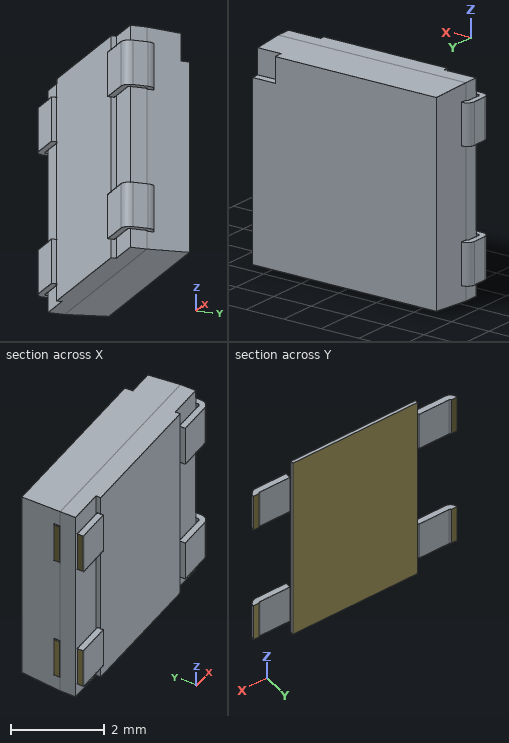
import cadquery as cq
import math

HOUSING_SIDE = 5.0
UPPER_HEIGHT = 1.0
LOWER_HEIGHT = 0.5
DRAFT_ANGLE = 3.0
PAD_WIDTH = 3.3
LEDGE_DEPTH = 0.12

NOTCH_SIDE = 0.61
NOTCH_DEPTH = 0.2

LEAD_SPAN = 5.4
LEAD_WIDTH = 1.0
LEAD_SPACING = 3.195
LEAD_THICKNESS = 0.15
LEAD_TOP = LEAD_THICKNESS
LEAD_BOTTOM = -0.6
FOOT_LENGTH = 1.0

HALF_SIDE = HOUSING_SIDE / 2
BEND_RADIUS = LEAD_SPAN / 2 - HALF_SIDE
DRAFT_SLOPE = math.tan(math.radians(DRAFT_ANGLE))


def make_housing():
    lower = cq.Workplane("XZ").rect(HOUSING_SIDE, HOUSING_SIDE).extrude(LOWER_HEIGHT)
    upper = cq.Workplane("XZ").rect(HOUSING_SIDE, HOUSING_SIDE).extrude(-UPPER_HEIGHT, taper=DRAFT_ANGLE)
    return cut_notch(cut_ledges(lower.union(upper)))


def cut_ledges(housing):
    ledge_width = (HOUSING_SIDE - PAD_WIDTH) / 2
    ledge_center = (HOUSING_SIDE + PAD_WIDTH) / 4
    for side in (-1, 1):
        ledge = (
            cq.Workplane("XY")
            .box(ledge_width, LEDGE_DEPTH, HOUSING_SIDE)
            .translate((side * ledge_center, -LOWER_HEIGHT + LEDGE_DEPTH / 2, 0))
        )
        housing = housing.cut(ledge)
    return housing


def cut_notch(housing):
    top_edge = HALF_SIDE - UPPER_HEIGHT * DRAFT_SLOPE
    notch_start = top_edge - NOTCH_SIDE
    cutter_side = HALF_SIDE - notch_start
    notch = (
        cq.Workplane("XY")
        .box(cutter_side, NOTCH_DEPTH, cutter_side, centered=False)
        .translate((notch_start, UPPER_HEIGHT - NOTCH_DEPTH, notch_start))
    )
    return housing.cut(notch)


def make_lead(side, z_center):
    """C-shaped strip from the drafted wall down and under the ledge; side is -1 or 1 in X."""
    outer = LEAD_SPAN / 2
    inner = outer - LEAD_THICKNESS
    foot_end = outer - FOOT_LENGTH
    foot_top = LEAD_BOTTOM + LEAD_THICKNESS
    bend_x = HALF_SIDE
    upper_bend_y = LEAD_TOP - BEND_RADIUS
    lower_bend_y = LEAD_BOTTOM + BEND_RADIUS
    inner_radius = BEND_RADIUS - LEAD_THICKNESS
    wall_at_top = HALF_SIDE - LEAD_TOP * DRAFT_SLOPE
    profile = (
        cq.Workplane("XY")
        .moveTo(wall_at_top, LEAD_TOP)
        .lineTo(bend_x, LEAD_TOP)
        .radiusArc((outer, upper_bend_y), BEND_RADIUS)
        .lineTo(outer, lower_bend_y)
        .radiusArc((bend_x, LEAD_BOTTOM), BEND_RADIUS)
        .lineTo(foot_end, LEAD_BOTTOM)
        .lineTo(foot_end, foot_top)
        .lineTo(bend_x, foot_top)
        .radiusArc((inner, lower_bend_y), -inner_radius)
        .lineTo(inner, upper_bend_y)
        .radiusArc((bend_x, upper_bend_y + inner_radius), -inner_radius)
    )
    lead = profile.close().extrude(LEAD_WIDTH / 2, both=True)
    if side < 0:
        lead = lead.mirror("YZ")
    return lead.translate((0, 0, z_center))


housing = make_housing()
leads = []
for side in (-1, 1):
    for z_center in (-LEAD_SPACING / 2, LEAD_SPACING / 2):
        leads.append(make_lead(side, z_center).val())

result = cq.Compound.makeCompound([housing.val(), *leads])